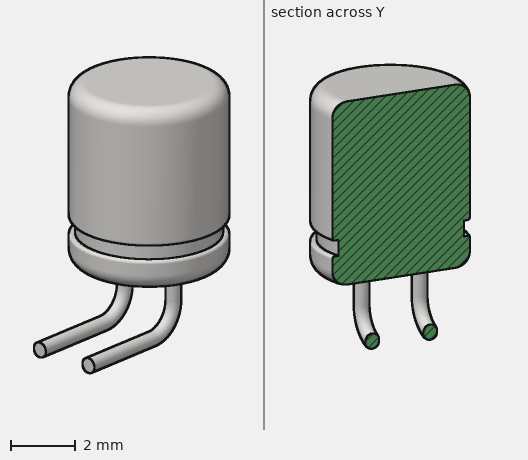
import cadquery as cq

can_diameter = 5.0
can_height = 6.0
can_end_fillet = 0.5

groove_diameter = 4.6
groove_bottom = 1.0
groove_width = 0.5
groove_top = groove_bottom + groove_width
groove_lip_fillet = 0.1

lead_diameter = 0.5
lead_pitch = 2.0
lead_drop = 1.0
lead_bend_radius = 1.0
lead_reach = 4.0


def disc(diameter, bottom, top):
    """Cylinder on the Z axis between two heights."""
    return cq.Workplane("XY", origin=(0, 0, bottom)).circle(diameter / 2).extrude(top - bottom)


def make_can():
    """Base ring, groove neck and main body stacked on one axis."""
    base = disc(can_diameter, 0, groove_bottom)
    base = base.faces("<Z").edges().fillet(can_end_fillet)
    base = base.faces(">Z").edges().fillet(groove_lip_fillet)

    neck = disc(groove_diameter, groove_bottom, groove_top)

    body = disc(can_diameter, groove_top, can_height)
    body = body.faces(">Z").edges().fillet(can_end_fillet)
    body = body.faces("<Z").edges().fillet(groove_lip_fillet)

    return base.union(neck).union(body)


def make_lead(x):
    """Round wire: straight drop, quarter bend, straight run to the tip."""
    wire_radius = lead_diameter / 2
    drop = cq.Workplane("XY", origin=(x, 0, 0)).circle(wire_radius).extrude(-lead_drop)
    bend = (
        cq.Workplane("XY", origin=(x, 0, -lead_drop))
        .circle(wire_radius)
        .revolve(90, (0, -lead_bend_radius, 0), (-1, -lead_bend_radius, 0))
    )
    run = (
        cq.Workplane("XZ", origin=(x, -lead_bend_radius, -lead_drop - lead_bend_radius))
        .circle(wire_radius)
        .extrude(lead_reach - lead_bend_radius)
    )
    return drop.union(bend).union(run)


result = make_can()
for side in (-1, 1):
    result = result.union(make_lead(side * lead_pitch / 2))